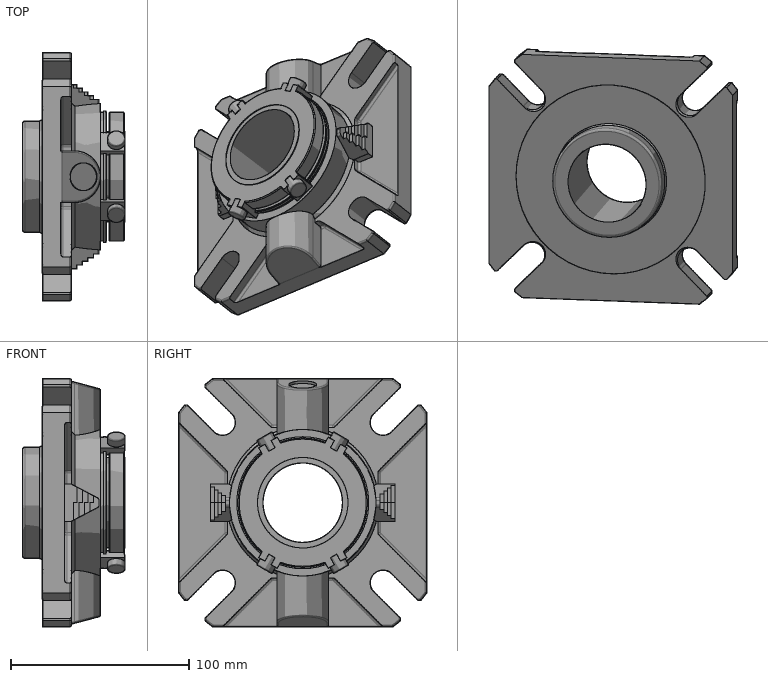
import cadquery as cq
import math

flange_size = 139.19
flange_thickness = 16.2
flange_edge_round = 1.0
edge_half_length = 50.6
tip_across = 54.9
tip_along = 66.2
overall_length = 57.63

slot_width = 14.1
slot_back_centre = 44.25
slot_front_centre = 44.95
slot_lead_in = 1.2

spigot_diameter = 108.0
spigot_height = 0.4

cut_clearance = 1.0
relief_mouth = 45.0
relief_throat = 17.6
relief_floor_z_sides = 10.2
relief_floor_y_sides = 12.3
relief_round = 1.4
relief_corner_round = 2.0

housing_base_radius = 40.6
housing_end_radius = 41.1
housing_end = 32.5
housing_foot_height = 2.0

boss_radius = 14.5
boss_slope = math.radians(15)
boss_slope_start = 10.8
boss_edge_round = 0.9
recess_diameter = 15.57
recess_offset = 23.1
recess_depth = 1.5

rib_base_half_width = 10.4
rib_tip_half_width = 2.3
rib_steps = 5
rib_base_reach = 51.7
rib_tip_reach = 43.4
rib_first_step_end = 19.3
rib_tip_end = 31.7
rib_half_offset = 1.9
rib_tip_round = 1.8

bore_diameter = 44.45
inner_ring_diameter = 62.46
inner_ring_start = -11.3
inner_ring_round = 1.5
ring_root_diameter = 63.9
ring_root_start = -1.8
ring_end_diameter = 50.77

seal_diameter = 72.52
seal_end = 35.8
flinger_diameter = 74.04
flinger_start = 34.1
flinger_end = 35.5

collar_diameter = 72.52
collar_start = 37.2
collar_end = 45.9
collar_chamfer = 0.6

screw_diameter = 9.89
screw_angles = (60, 120, 240, 300)
screw_head_radius = 43.1
screw_edge_round = 0.4
lug_half_width = 6.0
lug_outer_height = 39.0
lug_inner_height = 34.5

half_size = flange_size / 2
part_end = inner_ring_start + overall_length
screw_x = part_end - screw_diameter / 2


def axial_cylinder(diameter, start, end):
    """Solid cylinder on the X axis between two axial positions."""
    return cq.Workplane("YZ", origin=(start, 0, 0)).circle(diameter / 2).extrude(end - start)


def about_axis(shape, angle):
    """Turn a shape about the bearing axis."""
    return shape.rotate((0, 0, 0), (1, 0, 0), angle)


def edge_relief(floor):
    """Tapered pocket open to the +Z edge of the flange, cut from floor to the front face."""
    outer = half_size + cut_clearance
    mouth = relief_mouth + cut_clearance
    throat_z = half_size - (relief_mouth - relief_throat)
    profile = [(-mouth, outer), (mouth, outer), (relief_throat, throat_z), (-relief_throat, throat_z)]
    pocket = cq.Workplane("YZ", origin=(floor, 0, 0)).polyline(profile).close().extrude(half_size)
    pocket = pocket.edges("|X and <Z").fillet(relief_corner_round)
    return pocket.faces("<X").edges().fillet(relief_round)


def slot_outline(start, centre):
    """Round-ended slot profile open outward along +Y, drawn at an axial position."""
    radius = slot_width / 2
    inner_y = centre * math.sqrt(2)
    outer_y = flange_size
    return (
        cq.Workplane("YZ", origin=(start, 0, 0))
        .moveTo(outer_y, -radius)
        .lineTo(inner_y, -radius)
        .threePointArc((inner_y - radius, 0), (inner_y, radius))
        .lineTo(outer_y, radius)
        .close()
    )


def corner_slot():
    """Bolt slot whose rounded end is flared by a short lead-in at the back face."""
    back_wire = slot_outline(0, slot_back_centre).wires().val()
    front_wire = slot_outline(slot_lead_in, slot_front_centre).wires().val()
    lead_in = cq.Workplane(cq.Solid.makeLoft([back_wire, front_wire], True))
    straight = slot_outline(slot_lead_in, slot_front_centre).extrude(flange_thickness)
    return lead_in.union(straight)


def flange_outline():
    """Corner points of the square outline, each corner trimmed back to two blunt tips."""
    points = []
    for y_sign, z_sign in ((1, 1), (-1, 1), (-1, -1), (1, -1)):
        corner = [
            (half_size, edge_half_length),
            (tip_along, tip_across),
            (tip_across, tip_across),
            (tip_across, tip_along),
            (edge_half_length, half_size),
        ]
        if y_sign != z_sign:
            corner.reverse()
        points.extend((y_sign * y, z_sign * z) for y, z in corner)
    return points


def make_flange():
    """Square flange with trimmed corners, edge reliefs and four diagonal bolt slots."""
    flange = cq.Workplane("YZ").polyline(flange_outline()).close().extrude(flange_thickness)
    flange = flange.faces(">X").edges().fillet(flange_edge_round)
    for angle in (0, 180):
        flange = flange.cut(about_axis(edge_relief(relief_floor_z_sides), angle))
    for angle in (90, 270):
        flange = flange.cut(about_axis(edge_relief(relief_floor_y_sides), angle))
    for angle in (45, 135, 225, 315):
        flange = flange.cut(about_axis(corner_slot(), angle))
    return flange.union(axial_cylinder(spigot_diameter, -spigot_height, relief_floor_z_sides))


def make_housing():
    """Slightly flared housing around the insert, with a conical foot on the flange."""
    foot_end = flange_thickness + housing_foot_height
    profile = [
        (0, 0),
        (0, housing_base_radius + housing_foot_height),
        (flange_thickness, housing_base_radius + housing_foot_height),
        (foot_end, housing_base_radius),
        (housing_end, housing_end_radius),
        (housing_end, 0),
    ]
    return cq.Workplane("XY").polyline(profile).close().revolve(360, (0, 0, 0), (1, 0, 0))


def make_boss():
    """Round-ended grease boss on the +Z side with a rounded top face sloping down toward +X."""
    arc_centre = housing_end - boss_radius
    boss = (
        cq.Workplane("XY")
        .moveTo(boss_slope_start, -boss_radius)
        .lineTo(arc_centre, -boss_radius)
        .threePointArc((housing_end, 0), (arc_centre, boss_radius))
        .lineTo(boss_slope_start, boss_radius)
        .close()
        .extrude(half_size)
    )
    wedge_length = 2 * (housing_end - boss_slope_start)
    wedge = (
        cq.Workplane("XZ")
        .moveTo(boss_slope_start, half_size)
        .lineTo(boss_slope_start + wedge_length, half_size)
        .lineTo(boss_slope_start + wedge_length, half_size - wedge_length * math.tan(boss_slope))
        .close()
        .extrude(flange_size, both=True)
    )
    boss = boss.cut(wedge).faces(">Z").edges("not |Y").fillet(boss_edge_round)
    root = cq.Workplane("XY").box(
        boss_slope_start - relief_floor_z_sides,
        2 * boss_radius,
        half_size,
        centered=(False, True, False),
    )
    return boss.union(root.translate((relief_floor_z_sides, 0, 0)))


def boss_recess():
    """Shallow round recess square to the sloping top of the boss."""
    height = half_size - (recess_offset - boss_slope_start) * math.tan(boss_slope)
    normal = (math.sin(boss_slope), 0, math.cos(boss_slope))
    plane = cq.Plane(origin=(recess_offset, 0, height), xDir=(0, 1, 0), normal=normal)
    return cq.Workplane(plane).circle(recess_diameter / 2).extrude(-recess_depth)


def stair_profile(offset):
    """Staircase outline in X-Y, falling toward +X, with all but the last riser moved back by offset."""
    run = (rib_tip_end - rib_first_step_end) / (rib_steps - 1)
    drop = (rib_base_reach - rib_tip_reach) / (rib_steps - 1)
    points = [(relief_floor_y_sides, 0), (relief_floor_y_sides, rib_base_reach)]
    for step in range(rib_steps):
        last = step == rib_steps - 1
        setback = 0 if last else offset
        riser = rib_first_step_end + step * run - setback
        reach = rib_base_reach - step * drop
        points.append((riser, reach))
        points.append((riser, 0 if last else reach - drop))
    return points


def make_rib():
    """Stepped rib on the +Y side, tapering toward +X, its upper half stepping back earlier."""
    upper = cq.Workplane("XY").polyline(stair_profile(rib_half_offset)).close().extrude(rib_base_half_width)
    lower = cq.Workplane("XY").polyline(stair_profile(0)).close().extrude(-rib_base_half_width)
    taper = [
        (relief_floor_y_sides, -rib_base_half_width),
        (flange_thickness, -rib_base_half_width),
        (rib_tip_end, -rib_tip_half_width),
        (rib_tip_end, rib_tip_half_width),
        (flange_thickness, rib_base_half_width),
        (relief_floor_y_sides, rib_base_half_width),
    ]
    outline = cq.Workplane("XZ").polyline(taper).close().extrude(-half_size)
    outline = outline.faces(">X").edges("|Y").fillet(rib_tip_round)
    return upper.union(lower).intersect(outline)


def make_collar():
    """Locking collar with chamfered rims."""
    return axial_cylinder(collar_diameter, collar_start, collar_end).faces("<X or >X").chamfer(collar_chamfer)


def make_screw_lug():
    """Flat lug bridging seal and collar, carrying one set screw, built pointing along +Y."""
    lug = cq.Workplane("XY").box(
        collar_end - housing_end,
        lug_outer_height - lug_inner_height,
        2 * lug_half_width,
        centered=(False, False, True),
    )
    lug = lug.translate((housing_end, lug_inner_height, 0))
    screw = cq.Workplane("XZ", origin=(screw_x, lug_inner_height, 0)).circle(screw_diameter / 2)
    screw = screw.extrude(lug_inner_height - screw_head_radius)
    screw = screw.faces(">Y").edges().fillet(screw_edge_round)
    return lug.union(screw)


def make_inner_ring():
    """Inner ring behind the flange, rounded at its end and flared where it meets the spigot."""
    radius = inner_ring_diameter / 2
    root_radius = ring_root_diameter / 2
    ring = (
        cq.Workplane("XY")
        .moveTo(inner_ring_start, 0)
        .lineTo(inner_ring_start, radius)
        .lineTo(ring_root_start, radius)
        .lineTo(-spigot_height, root_radius)
        .lineTo(-spigot_height, 0)
        .close()
        .revolve(360, (0, 0, 0), (1, 0, 0))
    )
    return ring.faces("<X").edges().fillet(inner_ring_round)


result = make_flange().union(make_housing())

boss = make_boss()
result = result.union(boss).union(about_axis(boss, 180))
result = result.cut(boss_recess())

rib = make_rib()
result = result.union(rib).union(about_axis(rib, 180))

result = result.union(axial_cylinder(seal_diameter, housing_end, seal_end))
result = result.union(axial_cylinder(flinger_diameter, flinger_start, flinger_end))
result = result.union(make_collar())
for screw_angle in screw_angles:
    result = result.union(about_axis(make_screw_lug(), screw_angle))

result = result.union(make_inner_ring())
result = result.union(axial_cylinder(ring_end_diameter, housing_end, part_end))
result = result.cut(axial_cylinder(bore_diameter, inner_ring_start, part_end))